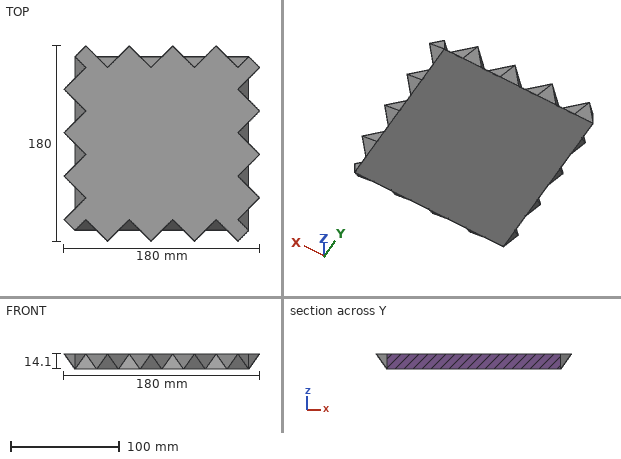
import cadquery as cq
import math

overall_width = 180.0
cells_per_side = 8

cell = overall_width / (cells_per_side + 1)
half_cell = cell / 2
base_width = cells_per_side * cell
half_base = base_width / 2
height = cell / math.sqrt(2)
lean_angle = math.degrees(math.atan2(half_cell, height))


def make_core():
    """Frustum that narrows upward from the base; its sides are the inward-leaning faces."""
    return cq.Workplane("XY").rect(base_width, base_width).extrude(height, taper=lean_angle)


def make_flared_block():
    """Frustum that widens upward from the base; its sides are the outward-leaning faces."""
    top_plane = cq.Workplane("XY", origin=(0, 0, height))
    return top_plane.rect(overall_width, overall_width).extrude(-height, taper=lean_angle)


def left_edge_points():
    """Zigzag of the top along the -X edge, from the -Y corner of the base towards +Y."""
    points = [(-half_base, -half_base)]
    for index in range(cells_per_side):
        leans_outward = index % 2 == 0
        offset = -half_cell if leans_outward else half_cell
        points.append((-half_base + offset, -half_base + (index + 0.5) * cell))
    return points


def quarter_turn(points):
    """Points turned 90 degrees clockwise about the centre."""
    return [(y, -x) for x, y in points]


def make_zigzag_prism():
    """Upright prism on the zigzag outline; its sides are the vertical faces between the cells."""
    edge = left_edge_points()
    outline = []
    for _ in range(4):
        outline.extend(edge)
        edge = quarter_turn(edge)
    return cq.Workplane("XY").polyline(outline).close().extrude(height)


result = make_zigzag_prism().intersect(make_flared_block()).union(make_core()).clean()